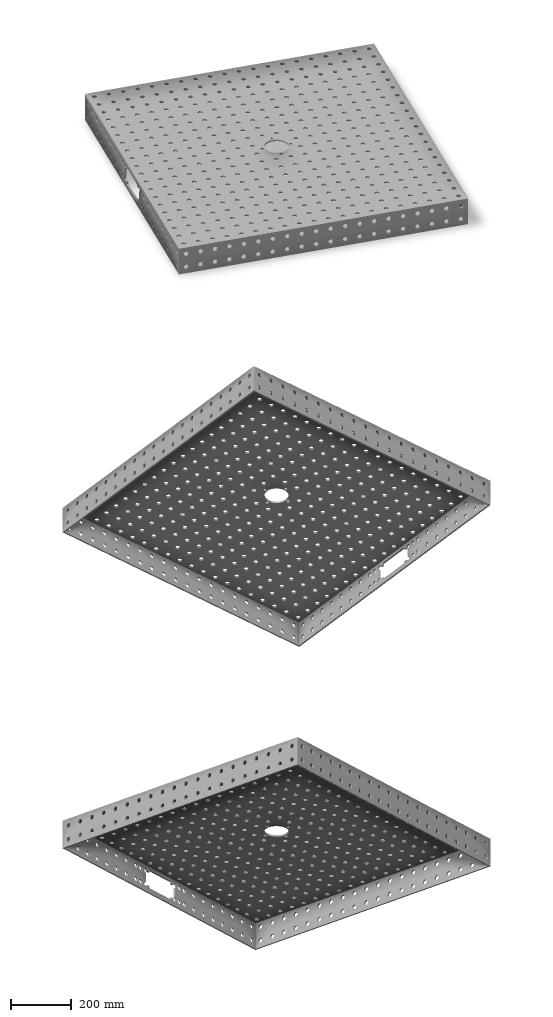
import cadquery as cq
side = 1000.0
height = 100.0
wall = 6.0

pitch = 50.0
hole_diameter = 16.0
columns = round(side / pitch)
rows = round(height / pitch)

opening_diameter = 80.0
screw_diameter = 11.0
screw_circle_radius = 49.0
screw_count = 4

window_width = 3 * pitch
window_height = 66.0
corner_step_width = 19.0
corner_step_height = 8.0
extra_hole_offset = 2 * pitch


def grid_positions(count):
    """Coordinates of evenly pitched holes, centred on zero."""
    return [(index - (count - 1) / 2) * pitch for index in range(count)]


def table_shell():
    """Top plate and four walls, centred on the origin."""
    body = cq.Workplane("XY").box(side, side, height)
    inner_side = side - 2 * wall
    cavity = cq.Workplane("XY").box(inner_side, inner_side, height).translate((0, 0, -wall))
    return body.cut(cavity)


def top_holes():
    """Hole grid of the top plate, leaving out the holes that would meet the central opening."""
    points = [
        (x, y)
        for x in grid_positions(columns)
        for y in grid_positions(columns)
        if max(abs(x), abs(y)) > pitch
    ]
    plane = cq.Workplane("XY").workplane(offset=height / 2 - wall)
    grid = plane.pushPoints(points).circle(hole_diameter / 2).extrude(wall)
    opening = plane.circle(opening_diameter / 2).extrude(wall)
    screws = (
        plane.polarArray(screw_circle_radius, 0, 360, screw_count)
        .circle(screw_diameter / 2)
        .extrude(wall)
    )
    return [grid, opening, screws]


def wall_holes(plane_name):
    """Hole grid drilled straight through two opposite walls."""
    points = [(along, z) for along in grid_positions(columns) for z in grid_positions(rows)]
    return (
        cq.Workplane(plane_name)
        .pushPoints(points)
        .circle(hole_diameter / 2)
        .extrude(side / 2, both=True)
    )


def front_window():
    """Window through the front wall only: a rectangle with a square step left in each corner."""
    window = cq.Workplane("XY").box(window_width, wall, window_height - 2 * corner_step_height)
    window = window.union(
        cq.Workplane("XY").box(window_width - 2 * corner_step_width, wall, window_height)
    )
    return window.translate((0, (wall - side) / 2, 0))


def front_extra_holes():
    """Additional holes beside the window, through the front wall only."""
    points = [(x, z) for x in (-extra_hole_offset, extra_hole_offset) for z in grid_positions(rows)]
    return (
        cq.Workplane("XZ", origin=(0, -side / 2, 0))
        .pushPoints(points)
        .circle(hole_diameter / 2)
        .extrude(-wall)
    )


result = table_shell()
for cutter in top_holes():
    result = result.cut(cutter)
for plane_name in ("XZ", "YZ"):
    result = result.cut(wall_holes(plane_name))
result = result.cut(front_window()).cut(front_extra_holes())